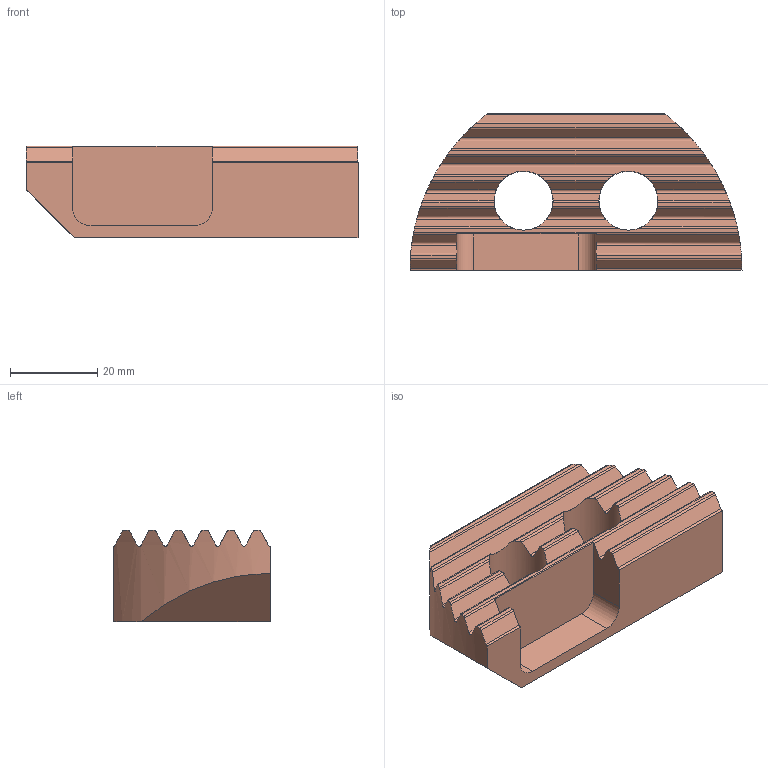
import cadquery as cq
import math

half_length = 38.0
width = 35.8
height = 20.9
side_radius = 45.0

tooth_pitch = 6.0
cutter_clearance = 1.0
crest_flat = 0.9
flank_angle = 62.0
tooth_rounding = 0.5

bevel_size = 11.0

hole_diameter = 13.5
hole_spacing = 24.0
hole_y = 15.9

pocket_length = 32.0
pocket_center_x = -11.35
pocket_depth = 8.3
pocket_floor_z = 2.8
pocket_corner_radius = 4.0


def make_blank():
    """Plate with a straight front and back and two curved ends."""
    center_offset = side_radius - half_length

    def half_length_at(y):
        return math.sqrt(side_radius**2 - y**2) - center_offset

    mid_x = half_length_at(width / 2)
    back_x = half_length_at(width)
    return (
        cq.Workplane("XY")
        .moveTo(-half_length, 0)
        .lineTo(half_length, 0)
        .threePointArc((mid_x, width / 2), (back_x, width))
        .lineTo(-back_x, width)
        .threePointArc((-mid_x, width / 2), (-half_length, 0))
        .close()
        .extrude(height)
    )


def groove_cutter(groove_y):
    """V groove along X with a rounded bottom and rounded crest edges."""
    angle = math.radians(flank_angle)
    arc_run = tooth_rounding * math.sin(angle)
    arc_rise = tooth_rounding * (1 - math.cos(angle))
    mid_run = tooth_rounding * math.sin(angle / 2)
    mid_rise = tooth_rounding * (1 - math.cos(angle / 2))

    mouth = (tooth_pitch - crest_flat) / 2
    flank_top = mouth - arc_run
    flank_rise = (flank_top - arc_run) * math.tan(angle)
    flank_top_z = height - arc_rise
    flank_bottom_z = flank_top_z - flank_rise
    bottom_z = flank_bottom_z - arc_rise
    above_z = height + cutter_clearance

    return (
        cq.Workplane("YZ", origin=(-half_length, groove_y, 0))
        .moveTo(-mouth, above_z)
        .lineTo(-mouth, height)
        .threePointArc((-mouth + mid_run, height - mid_rise), (-flank_top, flank_top_z))
        .lineTo(-arc_run, flank_bottom_z)
        .threePointArc((0, bottom_z), (arc_run, flank_bottom_z))
        .lineTo(flank_top, flank_top_z)
        .threePointArc((mouth - mid_run, height - mid_rise), (mouth, height))
        .lineTo(mouth, above_z)
        .close()
        .extrude(2 * half_length)
    )


def cut_teeth(body):
    """Cut a groove at every pitch, with part grooves at the front and back."""
    groove_count = math.ceil(width / tooth_pitch) + 1
    for index in range(groove_count):
        body = body.cut(groove_cutter(index * tooth_pitch))
    return body


def cut_bevel(body):
    """45 degree bevel along the lower edge of the -X end."""
    bevel = (
        cq.Workplane("XZ")
        .moveTo(-half_length, 0)
        .lineTo(-half_length + bevel_size, 0)
        .lineTo(-half_length, bevel_size)
        .close()
        .extrude(-width)
    )
    return body.cut(bevel)


def cut_holes(body):
    """Two plain vertical holes through the full height."""
    hole_places = [(-hole_spacing / 2, hole_y), (hole_spacing / 2, hole_y)]
    holes = (
        cq.Workplane("XY")
        .pushPoints(hole_places)
        .circle(hole_diameter / 2)
        .extrude(height)
    )
    return body.cut(holes)


def cut_pocket(body):
    """Pocket from the front face, with rounded lower corners."""
    pocket = (
        cq.Workplane("XY")
        .box(pocket_length, pocket_depth, height - pocket_floor_z, centered=(True, False, False))
        .edges("|Y and <Z")
        .fillet(pocket_corner_radius)
        .translate((pocket_center_x, 0, pocket_floor_z))
    )
    return body.cut(pocket)


blank = make_blank()
toothed = cut_teeth(blank)
beveled = cut_bevel(toothed)
drilled = cut_holes(beveled)
result = cut_pocket(drilled)